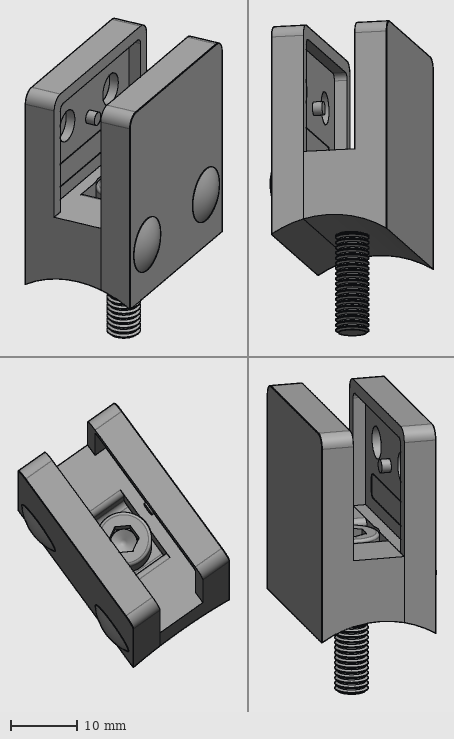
import cadquery as cq
import math


jaw_thickness = 5.0
slot_width = 8.0
clamp_length = 30.0
clamp_height = 32.6
slot_depth = 20.0
corner_radius = 2.0
edge_break = 0.1
post_radius = 16.85

slot_half = slot_width / 2
clamp_half = slot_half + jaw_thickness
slot_floor = clamp_height - slot_depth
post_axis_z = -math.sqrt(post_radius**2 - clamp_half**2)

pocket_margin = 2.0
pocket_depth = 2.0
pocket_corner_radius = 1.0
pocket_length = clamp_length - 2 * pocket_margin
pocket_height = slot_depth - pocket_margin
pad_hole_diameter = 5.0
pad_hole_depth = 1.5
pad_hole_spacing = 14.1
pad_hole_height = 11.5
stud_diameter = 2.08
stud_height = 9.95
stud_length = 1.5
label_length = 20.0
label_height = 3.85
label_bottom = 2.1
label_corner_radius = 0.9
label_depth = 0.1

screw_tip_z = -12.55
screw_diameter = 5.1
screw_length = 20.0
thread_count = 25
thread_half_angle = 30.0
head_diameter = 8.5
head_height = 5.0
head_fillet = 0.5
socket_across_flats = 4.0
socket_depth = 2.5
socket_cone_angle = 120.0

screw_radius = screw_diameter / 2
head_seat = screw_tip_z + screw_length
thread_pitch = screw_length / thread_count
thread_crest = thread_pitch / 8
thread_root = thread_pitch / 4
flank_width = (thread_pitch - thread_crest - thread_root) / 2
thread_depth = flank_width / math.tan(math.radians(thread_half_angle))

recess_floor_length = 8.9
recess_end_radius = 1.0
recess_floor = head_seat

dome_spacing = 19.05
dome_z = 8.62
dome_diameter = 8.65
dome_rim = 0.1
dome_height = 1.25
dome_shank_diameter = 5.0
dome_shank_length = jaw_thickness + slot_width


def box_between(x0, x1, y0, y1, z0, z1):
    """Box given by its limits along each axis."""
    return cq.Workplane("XY").box(x1 - x0, y1 - y0, z1 - z0, centered=False).translate((x0, y0, z0))


def jaw(side):
    """Upright jaw on the given side (-1 or +1), rounded at the top, with a broken outer edge."""
    half = clamp_length / 2
    inner, outer = sorted((side * slot_half, side * clamp_half))
    body = box_between(inner, outer, -half, half, 0, clamp_height)
    body = body.edges("|X and >Z").fillet(corner_radius)
    outer_face = "<X" if side < 0 else ">X"
    outline = body.faces(outer_face).edges("not(<Z)")
    return outline.chamfer(edge_break)


def along_x(side, x, y, z):
    """Sketch plane at (x, y, z), facing outward on the given side, local x along Y."""
    direction = cq.Vector(side, 0, 0)
    return cq.Workplane(cq.Plane(origin=(x, y, z), xDir=(0, 1, 0), normal=direction))


def pad_pocket(side):
    """Material removed from a jaw for a pad: pocket, two round holes and label panel."""
    pocket_floor = side * (slot_half + pocket_depth)
    pocket = along_x(side, side * slot_half, 0, slot_floor + pocket_height / 2)
    pocket = pocket.rect(pocket_length, pocket_height).extrude(pocket_depth)
    pocket = pocket.edges("|X and >Z").fillet(pocket_corner_radius)
    holes = along_x(side, pocket_floor, 0, slot_floor + pad_hole_height)
    holes = holes.rarray(pad_hole_spacing, 0.45, 2, 1).circle(pad_hole_diameter / 2).extrude(pad_hole_depth)
    label = along_x(side, pocket_floor, 0, slot_floor + label_bottom + label_height / 2)
    label = label.rect(label_length, label_height).extrude(label_depth)
    label = label.edges("|X").fillet(label_corner_radius)
    return pocket.union(holes).union(label)


def pad_stud(side):
    """Small round stud standing on the pocket floor, pointing into the slot."""
    pocket_floor = side * (slot_half + pocket_depth)
    stud = along_x(-side, pocket_floor, 0, slot_floor + stud_height)
    return stud.circle(stud_diameter / 2).extrude(stud_length)


def post_saddle():
    """Round post that the underside of the clamp sits on."""
    post = cq.Workplane("XZ").center(0, post_axis_z).circle(post_radius)
    return post.extrude(clamp_length, both=True)


def screw_clearance():
    """Bore for the clamp screw shank, and the round notches its head needs in the jaws."""
    bore = cq.Workplane("XY").workplane(offset=screw_tip_z).circle(screw_radius).extrude(screw_length)
    notch = cq.Workplane("XY").workplane(offset=head_seat)
    notch = notch.circle(head_diameter / 2).extrude(slot_floor - head_seat)
    return bore.union(notch)


def floor_recess():
    """Recess across the slot floor; its end walls are rounded at the top edge and at the floor."""
    floor_half = recess_floor_length / 2
    wall = floor_half + recess_end_radius
    top_half = wall + recess_end_radius
    low_z = recess_floor + recess_end_radius
    high_z = slot_floor - recess_end_radius
    diagonal = recess_end_radius * math.sqrt(0.5)
    profile = (
        cq.Workplane("YZ")
        .moveTo(-floor_half, recess_floor)
        .lineTo(floor_half, recess_floor)
        .threePointArc((floor_half + diagonal, low_z - diagonal), (wall, low_z))
        .lineTo(wall, high_z)
        .threePointArc((top_half - diagonal, high_z + diagonal), (top_half, slot_floor))
        .lineTo(-top_half, slot_floor)
        .threePointArc((diagonal - top_half, high_z + diagonal), (-wall, high_z))
        .lineTo(-wall, low_z)
        .threePointArc((-floor_half - diagonal, low_z - diagonal), (-floor_half, recess_floor))
        .close()
    )
    return profile.extrude(slot_half, both=True)


def dome_positions():
    """Y positions of the two plate screws."""
    return [-dome_spacing / 2, dome_spacing / 2]


def dome_shank(y):
    """Shank of a plate screw, from the outer plate face inward."""
    return along_x(-1, clamp_half, y, dome_z).circle(dome_shank_diameter / 2).extrude(dome_shank_length)


def make_housing():
    """Fixed jaw and base block in one piece."""
    half = clamp_length / 2
    base = box_between(-slot_half, slot_half, -half, half, 0, slot_floor)
    body = jaw(-1).union(base)
    body = body.cut(pad_pocket(-1)).union(pad_stud(-1))
    body = body.cut(post_saddle()).cut(floor_recess()).cut(screw_clearance())
    for y in dome_positions():
        body = body.cut(dome_shank(y))
    return body


def make_plate():
    """Removable jaw, screwed to the base block."""
    body = jaw(1).cut(pad_pocket(1)).union(pad_stud(1))
    body = body.cut(post_saddle()).cut(screw_clearance())
    for y in dome_positions():
        body = body.cut(dome_shank(y))
    return body


def make_clamp_screw():
    """Socket-head screw; the thread is a row of V-shaped rings."""
    root_radius = screw_radius - thread_depth
    profile = cq.Workplane("XZ").moveTo(0, screw_tip_z).lineTo(root_radius, screw_tip_z)
    for i in range(thread_count):
        ring_bottom = screw_tip_z + i * thread_pitch + thread_root / 2
        crest_bottom = ring_bottom + flank_width
        crest_top = crest_bottom + thread_crest
        profile = (
            profile.lineTo(root_radius, ring_bottom)
            .lineTo(screw_radius, crest_bottom)
            .lineTo(screw_radius, crest_top)
            .lineTo(root_radius, crest_top + flank_width)
        )
    shank = profile.lineTo(root_radius, head_seat).lineTo(0, head_seat).close()
    shank = shank.revolve(360, (0, 0, 0), (0, 1, 0))
    head = cq.Workplane("XY").workplane(offset=head_seat).circle(head_diameter / 2).extrude(head_height)
    head = head.faces(">Z").edges().fillet(head_fillet)
    return shank.union(head).cut(hex_socket())


def hex_socket():
    """Hexagonal socket, flats square to X, with a conical drill point at the bottom."""
    head_top = head_seat + head_height
    socket_floor = head_top - socket_depth
    across_corners = socket_across_flats / math.cos(math.pi / 6)
    hexagon = cq.Workplane("XY").workplane(offset=socket_floor).polygon(6, across_corners)
    hexagon = hexagon.extrude(socket_depth).rotate((0, 0, 0), (0, 0, 1), 30)
    cone_radius = socket_across_flats / 2
    cone_depth = cone_radius / math.tan(math.radians(socket_cone_angle / 2))
    cone = cq.Solid.makeCone(0, cone_radius, cone_depth, cq.Vector(0, 0, socket_floor - cone_depth))
    return hexagon.union(cq.Workplane(cone))


def make_plate_screw(y):
    """Screw with a low domed head resting on the outer plate face."""
    radius = dome_diameter / 2
    cap_height = dome_height - dome_rim
    sphere_radius = (radius**2 + cap_height**2) / (2 * cap_height)
    mid_angle = math.asin(radius / sphere_radius) / 2
    rim_x = clamp_half + dome_rim
    crown_x = clamp_half + dome_height
    centre_x = crown_x - sphere_radius
    arc_middle = (centre_x + sphere_radius * math.cos(mid_angle), sphere_radius * math.sin(mid_angle))
    head = (
        cq.Workplane("XY")
        .moveTo(clamp_half, 0)
        .lineTo(clamp_half, radius)
        .lineTo(rim_x, radius)
        .threePointArc(arc_middle, (crown_x, 0))
        .close()
        .revolve(360, (0, 0, 0), (1, 0, 0))
        .translate((0, y, dome_z))
    )
    return head.union(dome_shank(y))


housing = make_housing()
plate = make_plate()
clamp_screw = make_clamp_screw()
plate_screws = [make_plate_screw(y) for y in dome_positions()]

result = cq.Compound.makeCompound(
    [housing.val(), plate.val(), clamp_screw.val(), *[screw.val() for screw in plate_screws]]
)